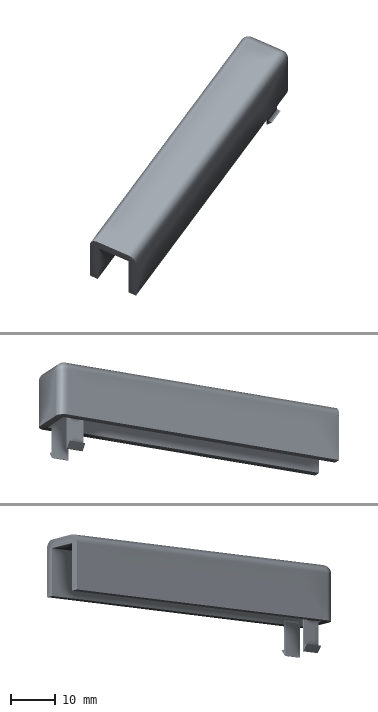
import cadquery as cq

width = 12.0
length = 71.15
body_height = 13.0
wall = 2.0
edge_radius = 2.0

clip_thickness = 0.5
clip_width = 4.0
clip_back_gap = 3.0
clip_drop = 7.3
clip_overlap = 1.0
clip_top_slope = clip_thickness
hook_reach = 1.0
hook_height = 1.5
hook_tip_flat = 0.2

inner_half_width = width / 2 - wall


def make_cover():
    """Rounded box with its bottom rim at Z = 0 and its open end at Y = 0, hollowed out."""
    shell = cq.Workplane("XY").box(width, length, body_height, centered=(True, False, False))
    shell = shell.edges("|Y and >Z").fillet(edge_radius)
    shell = shell.faces(">Y").edges("not <Z").fillet(edge_radius)
    cavity = cq.Workplane("XY").box(
        2 * inner_half_width,
        length - wall,
        body_height - wall,
        centered=(True, False, False),
    )
    return shell.cut(cavity)


def make_clip():
    """Clip on the +X side: a thin strip ending in an outward hook with a sloped lead-in."""
    outer_x = inner_half_width
    inner_x = outer_x - clip_thickness
    hook_z = hook_height - clip_drop
    profile = [
        (inner_x, -clip_drop),
        (inner_x + hook_tip_flat, -clip_drop),
        (outer_x + hook_reach, hook_z),
        (outer_x, hook_z),
        (outer_x, clip_overlap),
        (inner_x, clip_overlap - clip_top_slope),
    ]
    back_y = length - clip_back_gap
    return (
        cq.Workplane("XZ", origin=(0, back_y, 0))
        .polyline(profile)
        .close()
        .extrude(clip_width)
    )


clip = make_clip()
result = make_cover().union(clip).union(clip.mirror("YZ"))